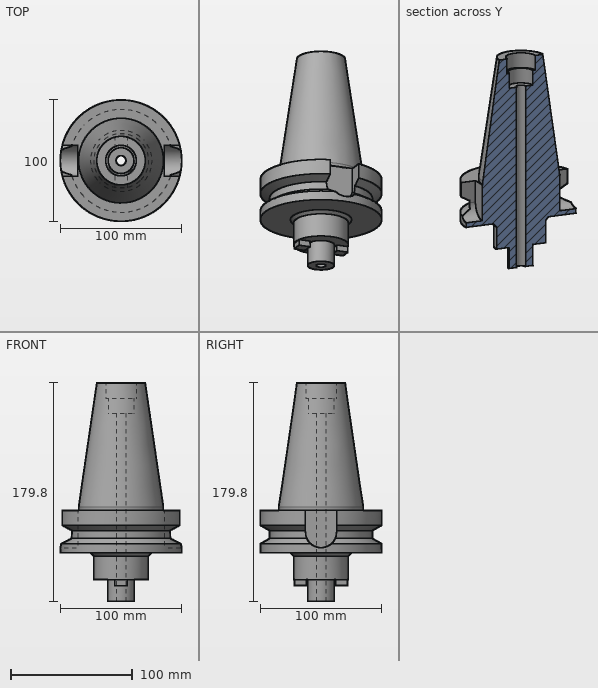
import cadquery as cq

total_height = 179.8
spigot_height = 18.0
flange_bottom = 40.0
flange_top = 75.0
gauge_plane = 78.0

taper_top_radius = 20.0
gauge_radius = 34.9
flange_radius = 50.0
pilot_radius = 22.5
spigot_radius = 11.0
shoulder_chamfer = 2.7

groove_radius = 42.5
lower_rim_height = 7.5
upper_rim_height = 12.4
groove_flank_height = 4.3

slot_width = 25.5
slot_floor_distance = 35.5
slot_bottom = 44.2

key_width = 10.0
key_height = 4.9
key_inner_distance = 12.0
key_outer_distance = 22.0

bore_radius = 12.5
bore_depth = 12.5
inner_bore_radius = 10.6
inner_bore_depth = 25.2
through_hole_radius = 4.0


def make_body():
    """Revolve the tapered shank, grooved flange, pilot and spigot."""
    lower_rim_top = flange_bottom + lower_rim_height
    upper_rim_bottom = flange_top - upper_rim_height
    profile = [
        (0, 0),
        (spigot_radius, 0),
        (spigot_radius, spigot_height),
        (pilot_radius, spigot_height),
        (pilot_radius, flange_bottom - shoulder_chamfer),
        (pilot_radius + shoulder_chamfer, flange_bottom),
        (flange_radius, flange_bottom),
        (flange_radius, lower_rim_top),
        (groove_radius, lower_rim_top + groove_flank_height),
        (groove_radius, upper_rim_bottom - groove_flank_height),
        (flange_radius, upper_rim_bottom),
        (flange_radius, flange_top),
        (gauge_radius, flange_top),
        (gauge_radius, gauge_plane),
        (taper_top_radius, total_height),
        (0, total_height),
    ]
    return cq.Workplane("XZ").polyline(profile).close().revolve(360, (0, 0), (0, 1))


def make_drive_slot(side):
    """Round-bottomed cutter, open at the flange top and rim; side is -1 or 1."""
    half_width = slot_width / 2
    arc_centre = slot_bottom + half_width
    return (
        cq.Workplane("YZ", origin=(side * slot_floor_distance, 0, 0))
        .moveTo(-half_width, flange_top)
        .lineTo(-half_width, arc_centre)
        .threePointArc((0, slot_bottom), (half_width, arc_centre))
        .lineTo(half_width, flange_top)
        .close()
        .extrude(side * flange_radius)
    )


def make_drive_key(side):
    """Rectangular key hanging below the pilot; side is -1 or 1."""
    key_length = key_outer_distance - key_inner_distance
    key_centre = (key_outer_distance + key_inner_distance) / 2
    return (
        cq.Workplane("XY", origin=(0, side * key_centre, spigot_height))
        .rect(key_width, key_length)
        .extrude(-key_height)
    )


def make_bore(radius, depth):
    """Round cutter sunk from the small end of the taper."""
    return cq.Workplane("XY", origin=(0, 0, total_height)).circle(radius).extrude(-depth)


result = make_body()
for side in (-1, 1):
    result = result.cut(make_drive_slot(side)).union(make_drive_key(side))

bores = (
    (bore_radius, bore_depth),
    (inner_bore_radius, inner_bore_depth),
    (through_hole_radius, total_height),
)
for radius, depth in bores:
    result = result.cut(make_bore(radius, depth))